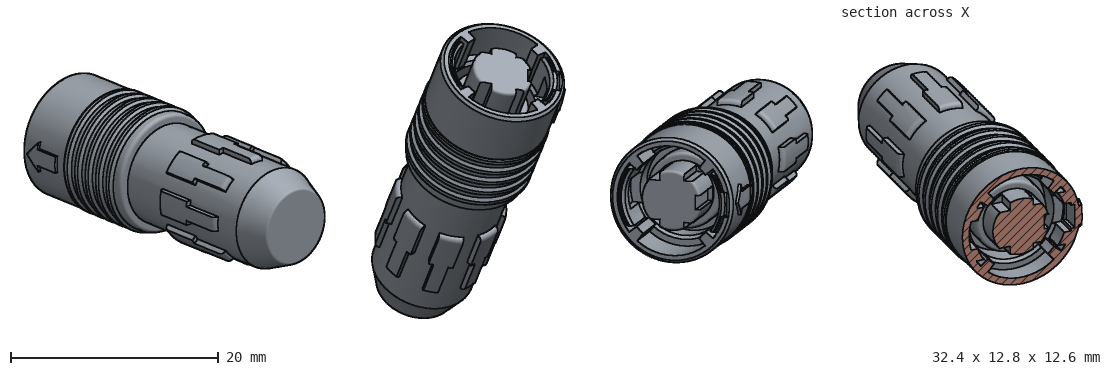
import cadquery as cq
import math

length = 32.4

sleeve_dia = 12.38
sleeve_plain_length = 6.0
sleeve_length = 13.87
rim_chamfer = 0.3
grip_dia = 12.02
grip_end_radius = 0.4
ring_dia = 12.6
ring_count = 5
ring_pitch = 1.5
first_ring_x = 6.38
ring_top_width = 0.42
ring_base_width = 1.0

body_dia = 10.15
taper_x = 29.42
tail_dia = 7.65
tail_edge_radius = 0.3

rib_count = 8
rib_dia = 11.18
rib_start_x = 18.8
rib_step_x = 22.78
rib_end_x = 26.8
rib_wide = 2.43
rib_narrow = 1.45
rib_corner_radius = 0.5

arrow_dia = 12.93
arrow_tip_x = 1.0
arrow_shoulder_x = 2.45
arrow_tail_x = 5.02
arrow_head_width = 3.05
arrow_shaft_width = 1.7

socket_dia = 10.85
socket_depth = 4.0
bore_dia = 8.9
bore_lead_dia = 9.53
bore_lead_length = 0.32
bore_depth = 6.48
key_slot_width = 2.43
key_slot_reach = 5.65

lug_start_angle = 39.0
lug_end_angle = 90 - lug_start_angle
lug_count = 4

tongue_tip_x = 0.05
tongue_width = 5.67
tongue_tip_outer_dia = 10.43
tongue_tip_inner_dia = 10.1
tongue_lead_end_x = 0.35

window_width = 2.98
window_start_x = 1.45

collar_dia = 7.52
collar_x = 4.3
notch_depth = 4.0
collar_edge_radius = 0.32
nose_dia = 5.95
nose_edge_radius = 0.3
side_notch_y = 1.15
side_notch_z = 1.95
small_notch_y = 1.3
small_notch_z = 2.07
nose_key_width = 1.43
nose_key_y = 2.45

overlap = 0.05


def turned(points):
    """Solid of revolution about X from (x, radius) points."""
    return cq.Workplane("XY").polyline(points).close().revolve(360, (0, 0, 0), (1, 0, 0))


def cylinder(diameter, start_x, end_x):
    return cq.Workplane("YZ", origin=(start_x, 0, 0)).circle(diameter / 2).extrude(end_x - start_x)


def block(x_range, y_range, z_range):
    sizes = [high - low for low, high in (x_range, y_range, z_range)]
    corner = (x_range[0], y_range[0], z_range[0])
    return cq.Workplane("XY").box(*sizes, centered=False).translate(corner)


def make_sleeve():
    sleeve = cylinder(sleeve_dia, 0, sleeve_plain_length).faces("<X").edges().chamfer(rim_chamfer)
    grip = cylinder(grip_dia, sleeve_plain_length, sleeve_length)
    sleeve = sleeve.union(grip.faces(">X").edges().fillet(grip_end_radius))
    root_radius = grip_dia / 2 - overlap
    for index in range(ring_count):
        center_x = first_ring_x + index * ring_pitch
        sleeve = sleeve.union(turned([
            (center_x - ring_base_width / 2, root_radius),
            (center_x - ring_base_width / 2, grip_dia / 2),
            (center_x - ring_top_width / 2, ring_dia / 2),
            (center_x + ring_top_width / 2, ring_dia / 2),
            (center_x + ring_base_width / 2, grip_dia / 2),
            (center_x + ring_base_width / 2, root_radius),
        ]))
    return sleeve


def make_rear_body():
    body = turned([
        (sleeve_plain_length, 0),
        (sleeve_plain_length, body_dia / 2),
        (taper_x, body_dia / 2),
        (length, tail_dia / 2),
        (length, 0),
    ])
    return body.faces(">X").edges().fillet(tail_edge_radius)


def make_ribs():
    band = cylinder(rib_dia, rib_start_x, rib_end_x).edges().fillet(rib_corner_radius)
    ribs = cq.Workplane("XY")
    wide = block((rib_start_x, rib_step_x), (-rib_wide / 2, rib_wide / 2), (0, rib_dia))
    narrow = block((rib_step_x, rib_end_x), (-rib_narrow / 2, rib_narrow / 2), (0, rib_dia))
    rib = band.intersect(wide.union(narrow))
    for index in range(rib_count):
        ribs = ribs.add(rib.rotate((0, 0, 0), (1, 0, 0), index * 360 / rib_count))
    return ribs.combine()


def make_arrow():
    half_head = arrow_head_width / 2
    half_shaft = arrow_shaft_width / 2
    plan = cq.Workplane("XZ").polyline([
        (arrow_tip_x, 0),
        (arrow_shoulder_x, half_head),
        (arrow_shoulder_x, half_shaft),
        (arrow_tail_x, half_shaft),
        (arrow_tail_x, -half_shaft),
        (arrow_shoulder_x, -half_shaft),
        (arrow_shoulder_x, -half_head),
    ]).close().extrude(arrow_dia)
    shell = cylinder(arrow_dia, 0, sleeve_plain_length)
    shell = shell.cut(cylinder(grip_dia, 0, sleeve_plain_length))
    return plan.intersect(shell)


def make_socket():
    socket = turned([
        (0, 0),
        (0, socket_dia / 2),
        (socket_depth, socket_dia / 2),
        (socket_depth, bore_lead_dia / 2),
        (socket_depth + bore_lead_length, bore_dia / 2),
        (bore_depth, bore_dia / 2),
        (bore_depth, 0),
    ])
    half = key_slot_width / 2
    return socket.union(block((0, socket_depth), (-key_slot_reach, 0), (-half, half)))


def make_lugs():
    ring = cylinder(socket_dia + overlap, 0, socket_depth).cut(cylinder(bore_dia, 0, socket_depth))
    lugs = cq.Workplane("XY")
    corners = []
    for angle in (math.radians(lug_start_angle), math.radians(lug_end_angle)):
        corners.append((socket_dia * math.cos(angle), socket_dia * math.sin(angle)))
    wedge = cq.Workplane("YZ").polyline([(0, 0)] + corners).close().extrude(socket_depth)
    lug = ring.intersect(wedge)
    for index in range(lug_count):
        lugs = lugs.add(lug.rotate((0, 0, 0), (1, 0, 0), index * 360 / lug_count))
    return lugs.combine()


def slab(width):
    """Block of the given Z width, centred on the axis and as deep as the socket with its lead-in."""
    end_x = socket_depth + bore_lead_length
    return block((0, end_x), (-socket_dia, socket_dia), (-width / 2, width / 2))


def make_tongues():
    bevel = (socket_dia - tongue_tip_outer_dia) / 2
    ring = turned([
        (tongue_tip_x, tongue_tip_inner_dia / 2),
        (tongue_tip_x, tongue_tip_outer_dia / 2),
        (tongue_tip_x + bevel, socket_dia / 2),
        (socket_depth, socket_dia / 2),
        (socket_depth, bore_lead_dia / 2),
        (tongue_lead_end_x, bore_lead_dia / 2),
    ])
    key = cylinder(socket_dia, tongue_tip_x, socket_depth)
    key = key.cut(cylinder(tongue_tip_inner_dia, tongue_tip_x, socket_depth))
    negative_y_side = block((0, socket_depth), (-socket_dia, 0), (-socket_dia, socket_dia))
    key = key.intersect(slab(key_slot_width)).intersect(negative_y_side)
    return ring.intersect(slab(tongue_width)).union(key)


def make_windows():
    end_x = socket_depth + bore_lead_length
    ring = cylinder(socket_dia, window_start_x, end_x).cut(cylinder(collar_dia, window_start_x, end_x))
    return ring.intersect(slab(window_width))


def make_insert():
    nose = cylinder(nose_dia, 0, bore_depth + overlap).faces("<X").edges().fillet(nose_edge_radius)
    depth = (0, notch_depth)
    for side in (1, -1):
        z_side = sorted((side * side_notch_z, side * nose_dia))
        nose = nose.cut(block(depth, (side_notch_y, nose_dia), z_side))
        z_small = sorted((side * small_notch_z, side * nose_dia))
        nose = nose.cut(block(depth, (-nose_dia, -small_notch_y), z_small))
    half = nose_key_width / 2
    nose = nose.cut(block(depth, (-nose_dia, -nose_key_y), (-half, half)))
    collar = cylinder(collar_dia, collar_x, bore_depth + overlap)
    return nose.union(collar.faces("<X").edges().fillet(collar_edge_radius))


result = make_sleeve().union(make_rear_body()).cut(make_socket())
result = result.union(make_lugs()).union(make_tongues())
result = result.cut(make_windows()).union(make_insert())
result = result.union(make_ribs()).union(make_arrow())